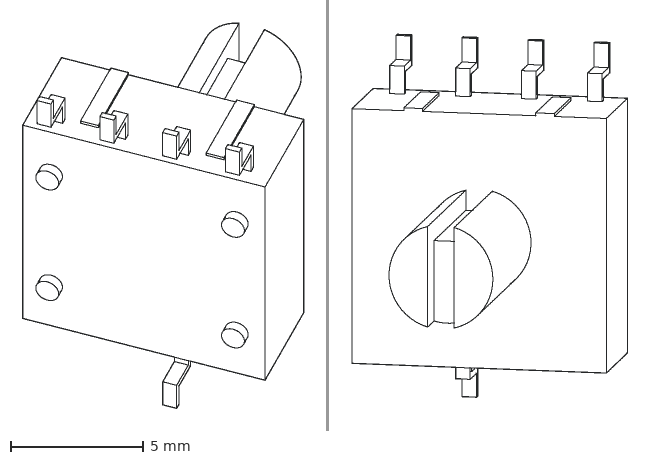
import cadquery as cq

body_side = 9.8
body_depth = 4.1
half_side = body_side / 2

shaft_diameter = 4.0
shaft_length = 7.31
slot_width = 1.02
slot_depth = 1.21
flat_height = 1.16

peg_diameter = 0.92
peg_length = 0.4
peg_spacing_x = 7.51
peg_spacing_z = 5.6

terminal_pitch = 2.54
terminal_width = 0.57
terminal_thickness = 0.25
terminal_rise = 1.08
terminal_reach = 2.0
terminal_front = -0.6
terminal_back = 0.88

strip_width = 0.72
strip_height = 0.11
strip_offset = terminal_pitch


def make_body():
    return cq.Workplane("XY").box(body_side, body_depth, body_side).translate((0, body_depth / 2, 0))


def make_shaft():
    tip = body_depth + shaft_length
    shaft = (
        cq.Workplane("XZ", origin=(0, body_depth, 0))
        .circle(shaft_diameter / 2)
        .extrude(-shaft_length)
    )
    slot = (
        cq.Workplane("XY")
        .box(slot_width, slot_depth, shaft_diameter)
        .translate((0, tip - slot_depth / 2, 0))
    )
    flat_cut = (
        cq.Workplane("XY")
        .box(slot_width, shaft_length, shaft_diameter, centered=(True, False, False))
        .translate((0, body_depth, flat_height))
    )
    return shaft.cut(slot).cut(flat_cut)


def make_pegs():
    return (
        cq.Workplane("XZ")
        .rarray(peg_spacing_x, peg_spacing_z, 2, 2)
        .circle(peg_diameter / 2)
        .extrude(peg_length)
    )


def make_terminal(x):
    """Z-bent terminal rising from the top side: leg, crossbar, then foot."""
    outline = [
        (terminal_back, half_side),
        (terminal_back, half_side + terminal_rise),
        (terminal_front + terminal_thickness, half_side + terminal_rise),
        (terminal_front + terminal_thickness, half_side + terminal_reach),
        (terminal_front, half_side + terminal_reach),
        (terminal_front, half_side + terminal_rise - terminal_thickness),
        (terminal_back - terminal_thickness, half_side + terminal_rise - terminal_thickness),
        (terminal_back - terminal_thickness, half_side),
    ]
    return (
        cq.Workplane("YZ", origin=(x, 0, 0))
        .polyline(outline)
        .close()
        .extrude(terminal_width / 2, both=True)
    )


def make_strip(x):
    strip_length = body_depth - terminal_back
    return (
        cq.Workplane("XY")
        .box(strip_width, strip_length, strip_height, centered=(True, False, False))
        .translate((x, terminal_back, half_side))
    )


result = make_body().union(make_shaft()).union(make_pegs())

for step in (-1.5, -0.5, 0.5, 1.5):
    result = result.union(make_terminal(step * terminal_pitch))

result = result.union(make_terminal(terminal_pitch / 2).mirror("XY"))

for x in (-strip_offset, strip_offset):
    result = result.union(make_strip(x))